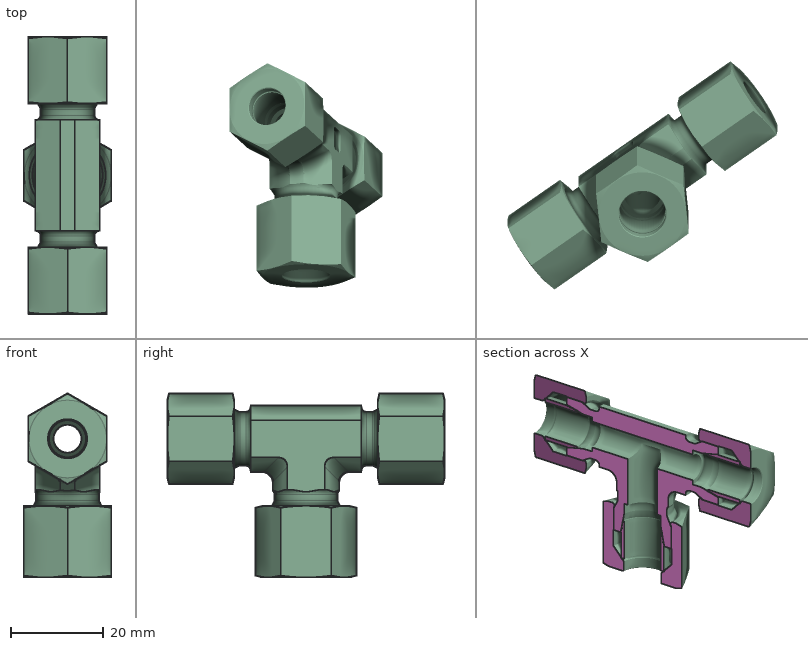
import cadquery as cq
import math

PORT_REACH = 30.0
TEE_REACH = 21.0

BODY_WIDTH = 14.0
BODY_HALF_HEIGHT = 7.2
RUN_HALF_LENGTH = 12.0
BRANCH_LENGTH = 11.0
CROTCH_RADIUS = 2.3
MARK_SIZE = 5.0
MARK_CORNER_RADIUS = 1.0
MARK_DEPTH = 1.0

NECK_THREAD_DIFFERENCE = 2.3
UNDERCUT_LENGTH = 2.8
NECK_RADIUS = 1.0
RUNOUT_ANGLE = math.radians(30)

BORE_REDUCTION = 2.0
SOCKET_DEPTH = 7.0
MOUTH_GROWTH = 2.0
CONE_ANGLE = math.radians(12)

RING_END = PORT_REACH - 3.0
RING_GRIP = 3.0

NUT_CHAMFER_ANGLE = math.radians(15)
NUT_CHAMFER_INSET = 0.1
NUT_BORE_CLEARANCE = 0.2
NUT_BORE_LENGTH = 2.4
NUT_ENTRY_CHAMFER = 0.15
NUT_COUNTERSINK_GROWTH = 0.55
NUT_COUNTERSINK_ANGLE = math.radians(60)

RUN_PORT = (8.0, 14.0, 17.0, RUN_HALF_LENGTH)
BRANCH_PORT = (10.0, 16.0, 19.0, BRANCH_LENGTH)
NUT_GAP = 3.5
SIDES = (-1, 1)
TOLERANCE = 1e-4


def hexagon_bar(width, start, end):
    """Hexagonal bar along Z with flats facing +X and -X."""
    corner_diameter = width / math.cos(math.pi / 6)
    return (
        cq.Workplane("XY")
        .workplane(offset=start)
        .transformed(rotate=(0, 0, 30))
        .polygon(6, corner_diameter)
        .extrude(end - start)
    )


def turned(outline):
    """Solid of revolution about Z from (radius, height) points."""
    return cq.Workplane("XZ").polyline(outline).close().revolve(360, (0, 0), (0, 1))


def on_run(shape, side):
    """Turn a part built along +Z onto the run axis, pointing to +Y or -Y."""
    return shape.rotate((0, 0, 0), (1, 0, 0), -90 * side)


def on_branch(shape):
    """Turn a part built along +Z to point down the branch."""
    return shape.rotate((0, 0, 0), (1, 0, 0), 180)


def runout_cone(thread, bar_end):
    """Start (radius, height) of the run-out cone, and the height where it reaches the thread."""
    neck = (thread - NECK_THREAD_DIFFERENCE) / 2
    radius = neck + NECK_RADIUS * (1 - math.cos(RUNOUT_ANGLE))
    height = bar_end + UNDERCUT_LENGTH
    return radius, height, height + (thread / 2 - radius) / math.tan(RUNOUT_ANGLE)


def body_bar(start, end):
    """Hexagonal bar along Z with the two corners on the Y side planed flat."""
    planed = cq.Workplane("XY").box(2 * BODY_WIDTH, 2 * BODY_HALF_HEIGHT, 4 * TEE_REACH)
    return hexagon_bar(BODY_WIDTH, start, end).intersect(planed)


def bar_root(port):
    """Concave round from the end of a bar down to the neck, trimmed to the bar."""
    _, thread, _, bar_end = port
    neck = (thread - NECK_THREAD_DIFFERENCE) / 2
    neck_start = bar_end + NECK_RADIUS
    inset = NECK_RADIUS * (1 - math.sin(math.pi / 4))
    flare = (
        cq.Workplane("XZ")
        .moveTo(0, bar_end)
        .lineTo(neck + NECK_RADIUS, bar_end)
        .threePointArc((neck + inset, bar_end + inset), (neck, neck_start))
        .lineTo(0, neck_start)
        .close()
        .revolve(360, (0, 0), (0, 1))
    )
    return flare.intersect(body_bar(bar_end, neck_start))


def spigot(port):
    """Neck, run-out cone and threaded end along +Z, from the end of the bar root."""
    _, thread, _, bar_end = port
    neck = (thread - NECK_THREAD_DIFFERENCE) / 2
    neck_start = bar_end + NECK_RADIUS
    cone_radius, cone_start, cone_end = runout_cone(thread, bar_end)
    root_start = cone_start - NECK_RADIUS * math.sin(RUNOUT_ANGLE)
    half_runout = RUNOUT_ANGLE / 2
    root_middle = (
        neck + NECK_RADIUS * (1 - math.cos(half_runout)),
        root_start + NECK_RADIUS * math.sin(half_runout),
    )
    return (
        cq.Workplane("XZ")
        .moveTo(0, neck_start)
        .lineTo(neck, neck_start)
        .lineTo(neck, root_start)
        .threePointArc(root_middle, (cone_radius, cone_start))
        .lineTo(thread / 2, cone_end)
        .lineTo(thread / 2, TEE_REACH)
        .lineTo(0, TEE_REACH)
        .close()
        .revolve(360, (0, 0), (0, 1))
    )


def tube_socket(port):
    """Flow bore, tube seat and conical mouth to cut along +Z from the tee centre."""
    tube, _, _, _ = port
    tube_radius = tube / 2
    bore_radius = (tube - BORE_REDUCTION) / 2
    mouth_radius = (tube + MOUTH_GROWTH) / 2
    seat = TEE_REACH - SOCKET_DEPTH
    cone_start = TEE_REACH - (mouth_radius - tube_radius) / math.tan(CONE_ANGLE)
    return turned(
        [
            (0, 0),
            (bore_radius, 0),
            (bore_radius, seat),
            (tube_radius, seat),
            (tube_radius, cone_start),
            (mouth_radius, TEE_REACH),
            (0, TEE_REACH),
        ]
    )


def make_tee():
    run = on_run(body_bar(-RUN_HALF_LENGTH, RUN_HALF_LENGTH), 1)
    branch = on_branch(body_bar(0, BRANCH_LENGTH))
    tee = run.union(branch)

    crotch_edges = []
    for edge in tee.edges().vals():
        middle = edge.Center()
        if middle.z < 0 and math.isclose(abs(middle.y), -middle.z, abs_tol=TOLERANCE):
            crotch_edges.append(edge)
    tee = tee.newObject(crotch_edges).fillet(CROTCH_RADIUS)

    marking = (
        cq.Workplane("XY")
        .box(2 * MARK_DEPTH, MARK_SIZE, MARK_SIZE)
        .edges("|X")
        .fillet(MARK_CORNER_RADIUS)
        .translate((-BODY_WIDTH / 2, 0, 0))
    )
    tee = tee.cut(marking)

    for side in SIDES:
        tee = tee.union(on_run(bar_root(RUN_PORT), side)).union(on_run(spigot(RUN_PORT), side))
    tee = tee.union(on_branch(bar_root(BRANCH_PORT))).union(on_branch(spigot(BRANCH_PORT)))

    for side in SIDES:
        tee = tee.cut(on_run(tube_socket(RUN_PORT), side))
    return tee.cut(on_branch(tube_socket(BRANCH_PORT)))


def nut_envelope(width, start, end):
    """Double cone that chamfers the hexagon corners at both ends of a nut."""
    face_radius = width / 2 - NUT_CHAMFER_INSET
    rise = (end - start) / 2 * math.tan(math.pi / 2 - NUT_CHAMFER_ANGLE)
    middle = (start + end) / 2
    return turned(
        [
            (0, start),
            (face_radius, start),
            (face_radius + rise, middle),
            (face_radius, end),
            (0, end),
        ]
    )


def make_nut(port):
    tube, thread, width, bar_end = port
    start = bar_end + NUT_GAP
    thread_radius = thread / 2
    bore_radius = (tube + NUT_BORE_CLEARANCE) / 2
    mouth_radius = (thread + NUT_COUNTERSINK_GROWTH) / 2

    cone_radius, cone_start, cone_end = runout_cone(thread, bar_end)
    cone_slope = math.tan(RUNOUT_ANGLE)
    cone_radius_at_mouth = cone_radius + (start - cone_start) * cone_slope
    countersink_slope = math.tan(NUT_COUNTERSINK_ANGLE)
    countersink_depth = (mouth_radius - cone_radius_at_mouth) / (countersink_slope + cone_slope)
    countersink_end_radius = cone_radius_at_mouth + countersink_depth * cone_slope

    bore_start = PORT_REACH - NUT_BORE_LENGTH
    ring_cone_start = bore_start - (thread_radius - bore_radius)
    opening = turned(
        [
            (0, start),
            (mouth_radius, start),
            (countersink_end_radius, start + countersink_depth),
            (thread_radius, cone_end),
            (thread_radius, ring_cone_start),
            (bore_radius, bore_start),
            (bore_radius, PORT_REACH - NUT_ENTRY_CHAMFER),
            (bore_radius + NUT_ENTRY_CHAMFER, PORT_REACH),
            (0, PORT_REACH),
        ]
    )
    blank = hexagon_bar(width, start, PORT_REACH).intersect(nut_envelope(width, start, PORT_REACH))
    return blank.cut(opening)


def make_ring(port):
    """Ring with a cone at the front in the tee mouth and a 45 degree cone at the back in the nut."""
    tube, _, _, _ = port
    tube_radius = tube / 2
    outer_radius = (tube + MOUTH_GROWTH) / 2
    tip_radius = outer_radius - RING_GRIP * math.tan(CONE_ANGLE)
    gap_to_bore = PORT_REACH - NUT_BORE_LENGTH - RING_END
    back_radius = (tube + NUT_BORE_CLEARANCE) / 2 + gap_to_bore
    return turned(
        [
            (tube_radius, TEE_REACH - RING_GRIP),
            (tip_radius, TEE_REACH - RING_GRIP),
            (outer_radius, TEE_REACH),
            (outer_radius, RING_END - (outer_radius - back_radius)),
            (back_radius, RING_END),
            (tube_radius, RING_END),
        ]
    )


tee = make_tee()
nuts = [on_run(make_nut(RUN_PORT), side) for side in SIDES] + [on_branch(make_nut(BRANCH_PORT))]
rings = [on_run(make_ring(RUN_PORT), side) for side in SIDES] + [on_branch(make_ring(BRANCH_PORT))]

result = cq.Compound.makeCompound(
    [tee.val()] + [nut.val() for nut in nuts] + [ring.val() for ring in rings]
)